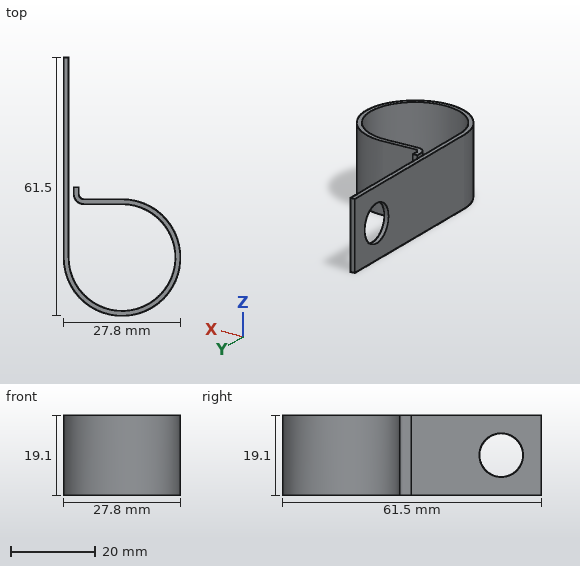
import cadquery as cq
import math

length = 61.55
width = 19.1
thickness = 1.25
loop_radius = 13.9
bend_radius = 1.25
lip_face_x = -11.5
lip_end_y = 16.75
hole_diameter = 10.35

inner_radius = loop_radius - thickness
strap_end_y = length - loop_radius
hole_y = strap_end_y - width / 2
lip_back_x = lip_face_x + thickness
outer_bend = bend_radius + thickness
bend_x = lip_face_x + outer_bend
bend_y = inner_radius + outer_bend
diagonal = math.sqrt(0.5)


def clamp_band():
    """Bent strip: straight strap, three-quarter loop, flat and upturned lip."""
    outline = (
        cq.Workplane("XY")
        .moveTo(-loop_radius, strap_end_y)
        .lineTo(-loop_radius, 0)
        .threePointArc((loop_radius * diagonal, -loop_radius * diagonal), (0, loop_radius))
        .lineTo(bend_x, loop_radius)
        .threePointArc(
            (bend_x - bend_radius * diagonal, bend_y - bend_radius * diagonal),
            (lip_back_x, bend_y),
        )
        .lineTo(lip_back_x, lip_end_y)
        .lineTo(lip_face_x, lip_end_y)
        .lineTo(lip_face_x, bend_y)
        .threePointArc(
            (bend_x - outer_bend * diagonal, bend_y - outer_bend * diagonal),
            (bend_x, inner_radius),
        )
        .lineTo(0, inner_radius)
        .threePointArc((inner_radius * diagonal, -inner_radius * diagonal), (-inner_radius, 0))
        .lineTo(-inner_radius, strap_end_y)
        .close()
    )
    return outline.extrude(width)


def strap_hole():
    """Cylinder that cuts the fixing hole through the strap only."""
    return (
        cq.Workplane("YZ", origin=(-loop_radius, 0, 0))
        .center(hole_y, width / 2)
        .circle(hole_diameter / 2)
        .extrude(thickness)
    )


result = clamp_band().cut(strap_hole())